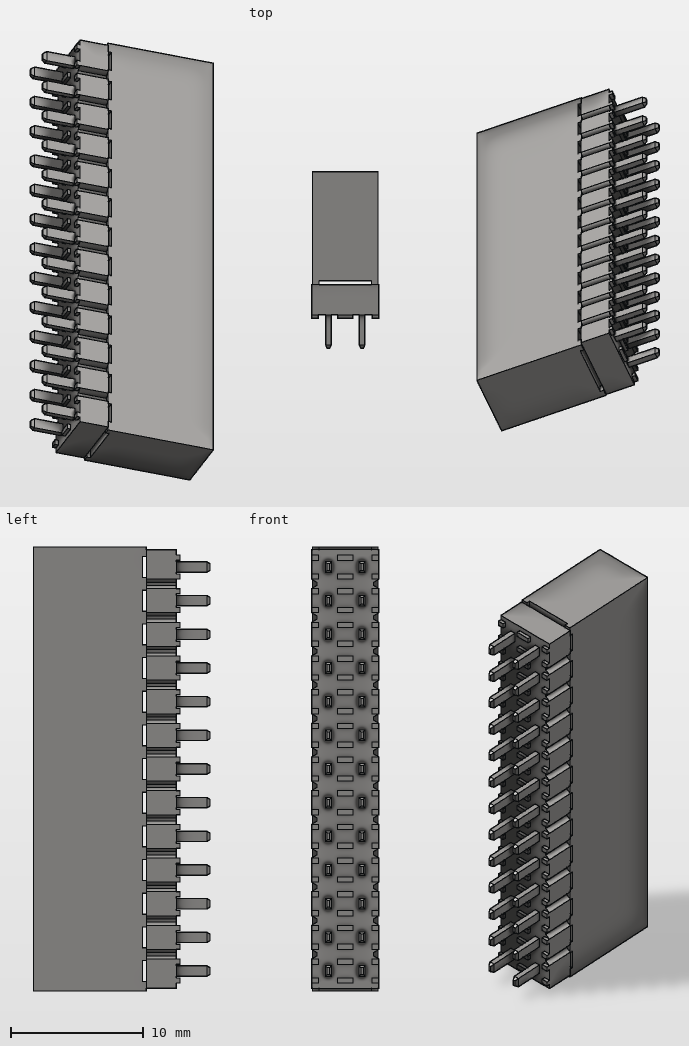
import cadquery as cq


PITCH = 2.54
POSITIONS = 13
pin_levels = [(i - (POSITIONS - 1) / 2) * PITCH for i in range(POSITIONS)]
notch_levels = [level + PITCH / 2 for level in pin_levels[:-1]]
row_centers = (-PITCH / 2, PITCH / 2)

BASE_WIDTH = 2 * PITCH
BASE_DEPTH = 2.28
BODY_LENGTH = 33.53
BASE_END_STEP = 0.22
BASE_LENGTH = BODY_LENGTH - 2 * BASE_END_STEP

PAD_HEIGHT = 0.27
PAD_THICKNESS = 0.4
PAD_OFFSET = 0.71
EDGE_PAD_WIDTH = 0.51
CENTER_PAD_WIDTH = 1.14
EDGE_PAD_CENTER = (BASE_WIDTH - EDGE_PAD_WIDTH) / 2

NOTCH_MOUTH = PITCH - 2 * PAD_OFFSET - PAD_THICKNESS
NOTCH_FLOOR = 0.24
NOTCH_DEPTH = 0.4

PIN_PROJECTION = 2.54
PIN_WIDTH = 0.43
PIN_HEIGHT = 0.8
PIN_TIP_LENGTH = 0.25
PIN_TIP_WIDTH = 0.2
PIN_TIP_HEIGHT = 0.5

TOTAL_DEPTH = 13.34
BODY_WIDTH = 4.96
GAP = 0.28
GAP_WIDTH = 3.96
WINDOW_HEIGHT = 1.56
BODY_BACK = TOTAL_DEPTH - PIN_PROJECTION


def block(width, depth, height, x, front, z):
    """Box centred at x and z whose front face lies at Y = front."""
    return cq.Workplane("XY").box(width, depth, height).translate((x, front + depth / 2, z))


def make_base():
    base = block(BASE_WIDTH, BASE_DEPTH, BASE_LENGTH, 0, 0, 0)
    for side in (-1, 1):
        mouth_x = side * BASE_WIDTH / 2
        floor_x = mouth_x - side * NOTCH_DEPTH
        notch = (
            cq.Workplane("XZ")
            .moveTo(mouth_x, -NOTCH_MOUTH / 2)
            .lineTo(floor_x, -NOTCH_FLOOR / 2)
            .lineTo(floor_x, NOTCH_FLOOR / 2)
            .lineTo(mouth_x, NOTCH_MOUTH / 2)
            .close()
            .extrude(-BASE_DEPTH)
        )
        for z in notch_levels:
            base = base.cut(notch.translate((0, 0, z)))
    return base


def make_body():
    body = block(BODY_WIDTH, BODY_BACK - BASE_DEPTH, BODY_LENGTH, 0, BASE_DEPTH, 0)
    body = body.cut(block(GAP_WIDTH, GAP, BODY_LENGTH, 0, BASE_DEPTH, 0))
    for z in pin_levels:
        body = body.cut(block(BODY_WIDTH, GAP, WINDOW_HEIGHT, 0, BASE_DEPTH, z))
    return body


def make_pads(level):
    pad_columns = (
        (-EDGE_PAD_CENTER, EDGE_PAD_WIDTH),
        (0, CENTER_PAD_WIDTH),
        (EDGE_PAD_CENTER, EDGE_PAD_WIDTH),
    )
    return [
        block(width, PAD_HEIGHT, PAD_THICKNESS, x, -PAD_HEIGHT, z).val()
        for z in (level - PAD_OFFSET, level + PAD_OFFSET)
        for x, width in pad_columns
    ]


def make_pin(x, z):
    shank_length = PIN_PROJECTION - PIN_TIP_LENGTH
    shank = block(PIN_WIDTH, shank_length, PIN_HEIGHT, x, -shank_length, z)
    tip = (
        cq.Workplane("XZ", origin=(x, -shank_length, z))
        .rect(PIN_WIDTH, PIN_HEIGHT)
        .workplane(offset=PIN_TIP_LENGTH)
        .rect(PIN_TIP_WIDTH, PIN_TIP_HEIGHT)
        .loft(ruled=True)
    )
    return shank.union(tip).val()


details = []
for level in pin_levels:
    details += make_pads(level)
    for row in row_centers:
        details.append(make_pin(row, level))

housing = make_base().union(make_body())
result = cq.Workplane("XY").newObject([housing.val().fuse(*details).clean()])